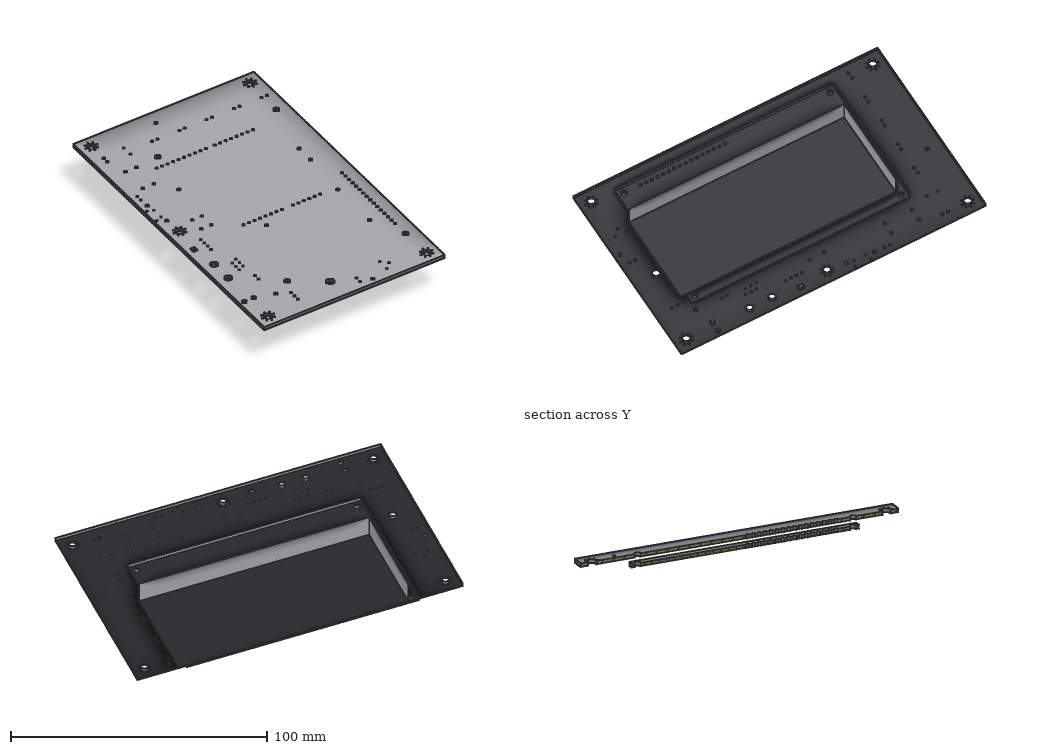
import cadquery as cq
import math

board_length = 137.2
board_thickness = 1.6
pitch = board_length / 54
board_width = 33 * pitch
step = pitch / 2

display_gap = 2.3
display_length = 98.1
display_width = 60.0
display_plate_thickness = 1.6
screen_length = 97.0
screen_width = 40.0
screen_depth = 9.5
display_center = (56 * step, 40 * step)
display_plate_top = -display_gap
screen_top = display_plate_top - display_plate_thickness
cut_reach = 13.7

fixing_diameter = 2.5
fixing_spacing_x = 93.0
fixing_spacing_y = 55.0

display_pin_diameter = 1.1
display_pin_count = 16
display_pin_start = (56.7, 61.6)

mounting_diameter = 3.5
ring_diameter = 5.2
ring_hole_diameter = 0.5
ring_hole_count = 8
mounting_places = [(4, 62), (104, 62), (4, 4), (54, 4), (104, 4)]


def pin_row(start, count, direction=(2, 0)):
    """Places of a straight row of pins, in grid steps; neighbours are one pitch apart by default."""
    return [(start[0] + i * direction[0], start[1] + i * direction[1]) for i in range(count)]


def corner_places(center, half_x, half_y):
    """The four corners of a rectangle around a center."""
    return [(center[0] + sx * half_x, center[1] + sy * half_y) for sx in (-1, 1) for sy in (-1, 1)]


down = (0, -2)
socket_diameter = 1.0
socket_places = (
    pin_row((24, 50.2), 8, down)
    + pin_row((24, 33), 10, down)
    + pin_row((62, 50.2), 6, down)
    + pin_row((62, 36.2), 8, down)
)

lead_pair_diameter = 1.0
lead_pair_count = 5
lead_pair_spacing = 10
lead_pair_top = (12, 63)
lead_pair_places = [
    place
    for i in range(lead_pair_count)
    for place in pin_row((lead_pair_top[0], lead_pair_top[1] - i * lead_pair_spacing), 2, down)
]

connector_spacing = 2.5
connector_pin_diameter = 0.9
connector_places = pin_row((61, 7.2), 4, (connector_spacing / step, 0))

compact_part_diameter = 1.2
compact_part_places = corner_places((54, 12), 2.6, 1.8)
button_diameter = 1.3
button_places = corner_places((25.1, 8), 4.9, 2)

fine_pin_diameter = 0.75
fine_pin_places = (
    pin_row((75, 11), 3)
    + pin_row((76, 9), 3)
    + [(100, 47.4), (104, 47.4)]
    + [(41, 3), (45, 3)]
)

small_lead_diameter = 0.9
small_lead_places = (
    [(102, 49.5), (10, 12), (13.8, 12)]
    + pin_row((103, 37), 2)
    + pin_row((32.5, 2.4), 2)
)
medium_lead_diameter = 1.0
medium_lead_places = pin_row((98, 16.2), 3) + pin_row((85, 11.5), 2)
large_lead_diameter = 1.2
large_lead_places = pin_row((11, 4), 2)

test_point_diameter = 1.5
test_point_places = [
    (39.5, 57), (46, 57), (63, 56), (81, 56), (66, 28), (106, 41),
    (5, 27), (36.5, 15), (96, 12), (47.5, 3.5), (38, 2.5),
]

terminal_diameter = 2.0
terminal_places = [(94, 5.2), (94, 1.8)]
peg_diameter = 3.3
peg_places = [(73.5, 4), (81.5, 4)]
large_hole_diameter = 3.5
large_hole_places = [(100, 29.3)]

key_cutout_size = (2.5, 1.9)
key_cutout_places = [(64, 2.8)]
tab_slot_size = (0.5, 0.8)
tab_slot_places = [(40.2, 0.9), (45.8, 0.9)]


def on_grid(places):
    """Turn places in grid steps into lengths from the board's corner."""
    return [(x * step, y * step) for x, y in places]


def drill(body, points, diameter):
    """Cut round holes through the full height of a body."""
    holes = cq.Workplane("XY").pushPoints(points).circle(diameter / 2).extrude(cut_reach, both=True)
    return body.cut(holes)


def punch(body, points, size):
    """Cut rectangular holes through the full height of a body."""
    holes = cq.Workplane("XY").pushPoints(points).rect(*size).extrude(cut_reach, both=True)
    return body.cut(holes)


def ring_points():
    """Places of the small holes around every mounting hole."""
    ring_radius = ring_diameter / 2
    points = []
    for x, y in on_grid(mounting_places):
        for i in range(ring_hole_count):
            angle = 2 * math.pi * i / ring_hole_count
            points.append((x + ring_radius * math.cos(angle), y + ring_radius * math.sin(angle)))
    return points


def drill_display_holes(body):
    """Fixing holes and pin row that board and display plate have in common."""
    fixing_points = corner_places(display_center, fixing_spacing_x / 2, fixing_spacing_y / 2)
    body = drill(body, fixing_points, fixing_diameter)
    return drill(body, on_grid(pin_row(display_pin_start, display_pin_count)), display_pin_diameter)


def make_board():
    board = cq.Workplane("XY").box(board_length, board_width, board_thickness, centered=False)
    board = drill_display_holes(board)
    board = drill(board, ring_points(), ring_hole_diameter)
    for places, diameter in [
        (mounting_places, mounting_diameter),
        (socket_places, socket_diameter),
        (lead_pair_places, lead_pair_diameter),
        (connector_places, connector_pin_diameter),
        (compact_part_places, compact_part_diameter),
        (button_places, button_diameter),
        (fine_pin_places, fine_pin_diameter),
        (small_lead_places, small_lead_diameter),
        (medium_lead_places, medium_lead_diameter),
        (large_lead_places, large_lead_diameter),
        (test_point_places, test_point_diameter),
        (terminal_places, terminal_diameter),
        (peg_places, peg_diameter),
        (large_hole_places, large_hole_diameter),
    ]:
        board = drill(board, on_grid(places), diameter)
    board = punch(board, on_grid(key_cutout_places), key_cutout_size)
    return punch(board, on_grid(tab_slot_places), tab_slot_size)


def make_display():
    plate = (
        cq.Workplane("XY", origin=(*display_center, display_plate_top))
        .rect(display_length, display_width)
        .extrude(-display_plate_thickness)
    )
    plate = drill_display_holes(plate)
    screen = (
        cq.Workplane("XY", origin=(*display_center, screen_top))
        .rect(screen_length, screen_width)
        .extrude(-screen_depth)
    )
    return plate.union(screen)


board = make_board()
display = make_display()

result = cq.Compound.makeCompound([board.val(), display.val()])